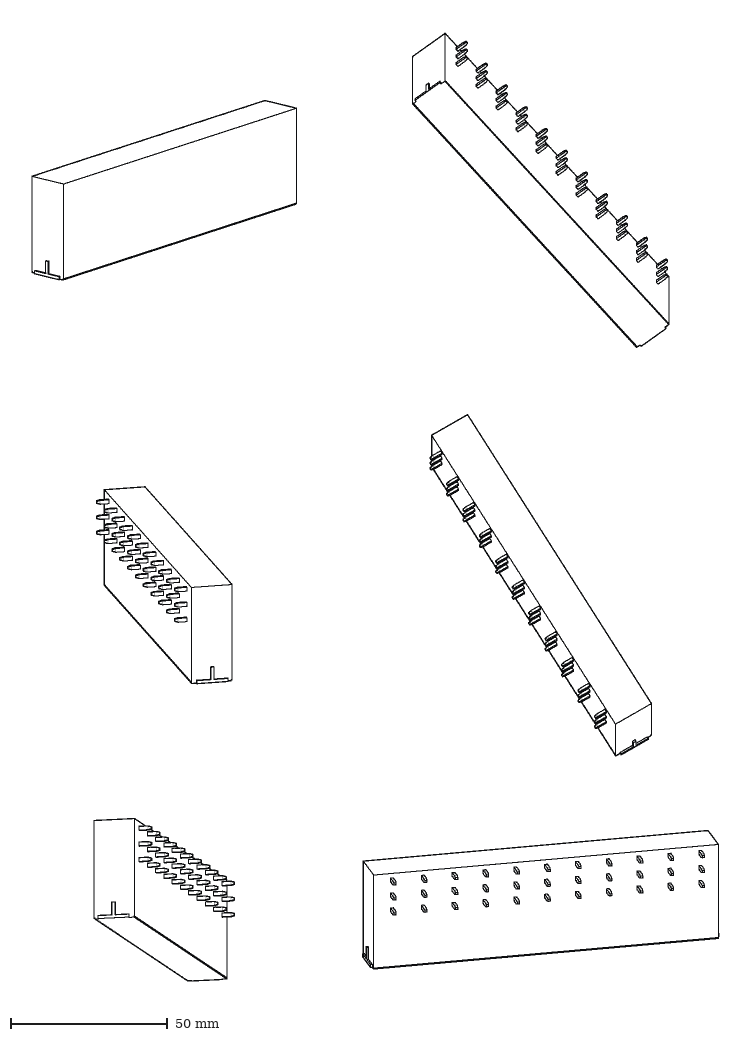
import cadquery as cq

total_width = 17.5
total_length = 114.8
height = 32.0

pin_length = 4.0
rib_depth = 0.6
body_width = total_width - pin_length
body_length = total_length - 2 * rib_depth

plate_thickness = 0.3
plate_pin_side_inset = 0.1
plate_back_inset = 0.3
plate_width = body_width - plate_pin_side_inset - plate_back_inset
body_height = height - plate_thickness

pin_columns = 11
pin_rows = 3
pin_span = 101.6
column_pitch = pin_span / (pin_columns - 1)
row_pitch = column_pitch / 2
top_row_drop = 2.2
pin_width = 0.9
pin_height = 1.3
tip_width = 0.7
tip_height = 0.7
tip_length = 1.0

foot_start = 1.7
foot_width = 10.2
foot_height = 1.0
stem_width = 1.0
stem_height = 5.2
stem_center = foot_start + foot_width / 2


def make_body():
    """Housing block with its base plate; the pin face is at X = 0 and the underside at Z = 0."""
    housing = cq.Workplane("XY", origin=(0, 0, plate_thickness)).box(
        body_width, body_length, body_height, centered=(False, True, False)
    )
    plate = cq.Workplane("XY", origin=(plate_pin_side_inset, 0, 0)).box(
        plate_width, body_length, plate_thickness, centered=(False, True, False)
    )
    return housing.union(plate)


def make_pin(y, z):
    """Pin standing on the X = 0 face and pointing toward -X."""
    shank_length = pin_length - tip_length
    shank = cq.Workplane("YZ", origin=(0, y, z)).rect(pin_width, pin_height).extrude(-shank_length)
    tip = (
        cq.Workplane("YZ", origin=(-shank_length, y, z))
        .rect(pin_width, pin_height)
        .workplane(offset=-tip_length)
        .rect(tip_width, tip_height)
        .loft(ruled=True)
    )
    return shank.union(tip)


def make_end_ribs():
    """One T-shaped bar running the full length, left proud at both ends of the housing."""
    foot = cq.Workplane("XY").box(foot_width, total_length, foot_height, centered=(True, True, False))
    stem = cq.Workplane("XY").box(stem_width, total_length, stem_height, centered=(True, True, False))
    return foot.union(stem).translate((stem_center, 0, 0))


result = make_body().union(make_end_ribs())
for column in range(pin_columns):
    pin_y = (column - (pin_columns - 1) / 2) * column_pitch
    for row in range(pin_rows):
        pin_z = height - top_row_drop - row * row_pitch
        result = result.union(make_pin(pin_y, pin_z))